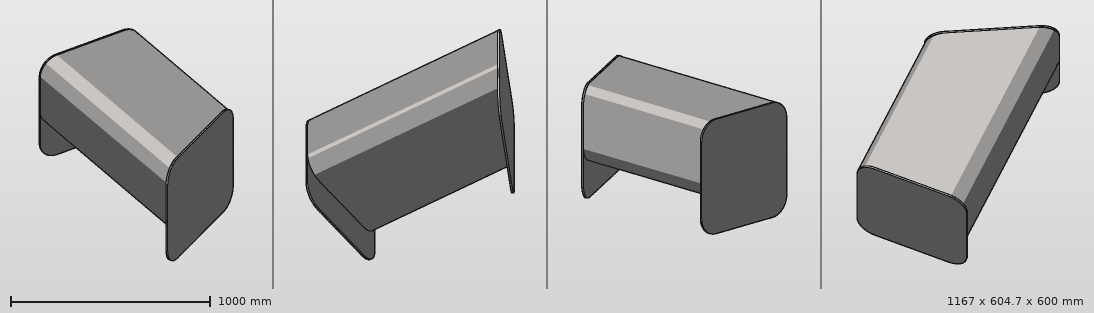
import cadquery as cq
import math

overall_length = 1167.0
depth = 600.0
panel_height = 600.0
beam_height = 404.0
panel_thickness = 10.0
corner_radius = 100.0
slant_angle = 27.8

slant = math.radians(slant_angle)
slant_length = depth / math.cos(slant)
front_length = overall_length - panel_thickness * math.cos(slant)
back_length = front_length - depth * math.tan(slant)


def rounded_panel(origin, normal, width_direction, width):
    """Upright rounded panel, thickened along its normal from one lower corner."""
    plane = cq.Plane(origin=origin, xDir=width_direction, normal=normal)
    return (
        cq.Workplane(plane)
        .center(width / 2, panel_height / 2)
        .rect(width, panel_height)
        .extrude(panel_thickness)
        .edges(cq.selectors.ParallelDirSelector(cq.Vector(*normal)))
        .fillet(corner_radius)
    )


def make_beam():
    """Rounded beam flush with the panel tops, cut off at the slanted panel."""
    bar = (
        cq.Workplane("YZ", origin=(panel_thickness, 0, 0))
        .center(depth / 2, panel_height - beam_height / 2)
        .rect(depth, beam_height)
        .extrude(overall_length)
        .edges("|X")
        .fillet(corner_radius)
    )
    footprint = (
        cq.Workplane("XY")
        .polyline([(0, 0), (front_length, 0), (back_length, depth), (0, depth)])
        .close()
        .extrude(panel_height)
    )
    return bar.intersect(footprint)


square_panel = rounded_panel((0, 0, 0), (1, 0, 0), (0, 1, 0), depth)
slanted_panel = rounded_panel(
    (front_length, 0, 0),
    (math.cos(slant), math.sin(slant), 0),
    (-math.sin(slant), math.cos(slant), 0),
    slant_length,
)
beam = make_beam()

result = cq.Compound.makeCompound([square_panel.val(), slanted_panel.val(), beam.val()])